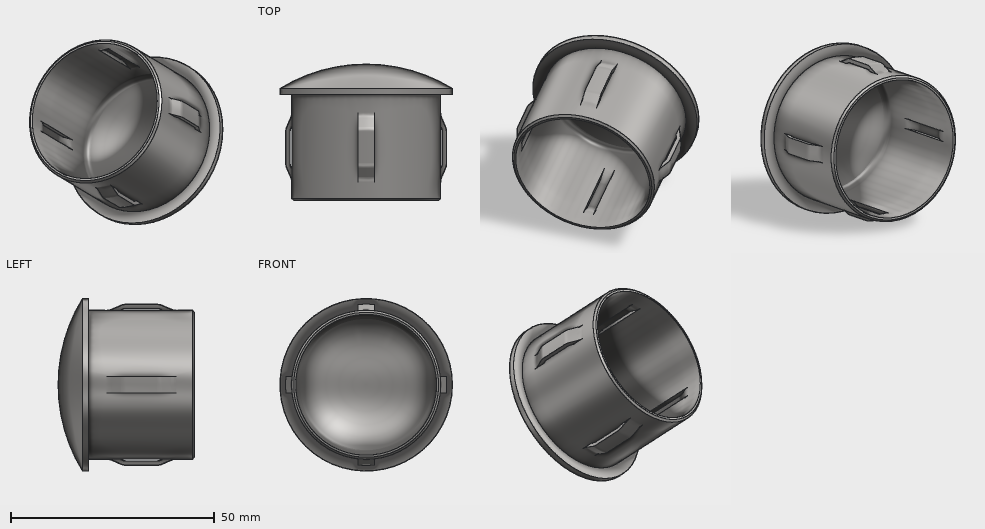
import cadquery as cq
import math


flange_radius = 21.2
flange_thickness = 1.5
dome_height = 6.0
wall = 1.0
dome_fillet = 2.0

tube_radius = 18.3
tube_length = 26.0
end_chamfer = 0.5
bore_radius = tube_radius - wall

strip_width = 4.1
strip_length = 17.0
slot_width = 2.55
strip_rise = 1.5
bend_radius = 3.0
ramp_angle = math.radians(23.5)
strip_start = -(tube_length - strip_length) / 2
strip_end = strip_start - strip_length

dome_radius = (flange_radius**2 + dome_height**2) / (2 * dome_height)
dome_apex = flange_thickness + dome_height
dome_center = dome_apex - dome_radius
inner_dome_radius = dome_radius - wall


def polar(center, radius, angle):
    """Point at an angle, measured from +X toward +Y, around a center."""
    return (center[0] + radius * math.cos(angle), center[1] + radius * math.sin(angle))


def make_shell():
    """Hollow tube, flange and dome, revolved from one half section."""
    sphere_center = (0, dome_center)
    rim_angle = math.atan2(flange_thickness - dome_center, flange_radius)
    outer_mid = polar(sphere_center, dome_radius, (rim_angle + math.pi / 2) / 2)

    fillet_x = bore_radius - dome_fillet
    tangent_angle = math.acos(fillet_x / (inner_dome_radius - dome_fillet))
    fillet_center = polar(sphere_center, inner_dome_radius - dome_fillet, tangent_angle)
    inner_mid = polar(sphere_center, inner_dome_radius, (tangent_angle + math.pi / 2) / 2)

    section = (
        cq.Workplane("XY")
        .moveTo(bore_radius, -tube_length)
        .lineTo(tube_radius - end_chamfer, -tube_length)
        .lineTo(tube_radius, -tube_length + end_chamfer)
        .lineTo(tube_radius, 0)
        .lineTo(flange_radius, 0)
        .lineTo(flange_radius, flange_thickness)
        .threePointArc(outer_mid, (0, dome_apex))
        .lineTo(0, dome_apex - wall)
        .threePointArc(inner_mid, polar(fillet_center, dome_fillet, tangent_angle))
        .threePointArc(
            polar(fillet_center, dome_fillet, tangent_angle / 2),
            (bore_radius, fillet_center[1]),
        )
        .close()
    )
    return section.revolve(360, (0, 0, 0), (0, 1, 0))


def make_strip_ring():
    """Full ring with the bent section of the strips, as thick as the tube wall."""
    bend_rise = bend_radius * (1 - math.cos(ramp_angle))
    bend_run = bend_radius * math.sin(ramp_angle)
    ramp_run = (strip_rise - 2 * bend_rise) / math.tan(ramp_angle)
    crest_inset = 2 * bend_run + ramp_run

    foot_x = tube_radius + bend_radius
    crest_x = tube_radius + strip_rise - bend_radius
    start_foot = (foot_x, strip_start)
    start_crest = (crest_x, strip_start - crest_inset)
    end_crest = (crest_x, strip_end + crest_inset)
    end_foot = (foot_x, strip_end)

    bends = [
        (start_foot, -1, 0, ramp_angle),
        (start_crest, 1, ramp_angle, 0),
        (end_crest, 1, 0, -ramp_angle),
        (end_foot, -1, -ramp_angle, 0),
    ]

    def bend_points(bend, depth):
        center, side, first, last = bend
        radius = side * (bend_radius - side * depth)
        return [polar(center, radius, angle) for angle in (first, (first + last) / 2, last)]

    section = cq.Workplane("XY").moveTo(bore_radius, strip_start)
    for bend in bends:
        first_point, mid_point, last_point = bend_points(bend, 0)
        section = section.lineTo(*first_point).threePointArc(mid_point, last_point)
    for bend in reversed(bends):
        first_point, mid_point, last_point = bend_points(bend, wall)
        section = section.lineTo(*last_point).threePointArc(mid_point, first_point)
    return section.close().revolve(360, (0, 0, 0), (0, 1, 0))


def make_strip_cross(width):
    """Two crossing bars of the given width that cover the length of all four strips."""
    reach = 2 * flange_radius
    middle = (strip_start + strip_end) / 2
    bar_x = cq.Workplane("XY").box(reach, strip_length, width)
    bar_z = cq.Workplane("XY").box(width, strip_length, reach)
    return bar_x.union(bar_z).translate((0, middle, 0))


strips = make_strip_ring().intersect(make_strip_cross(strip_width))
result = make_shell().cut(make_strip_cross(slot_width)).union(strips)